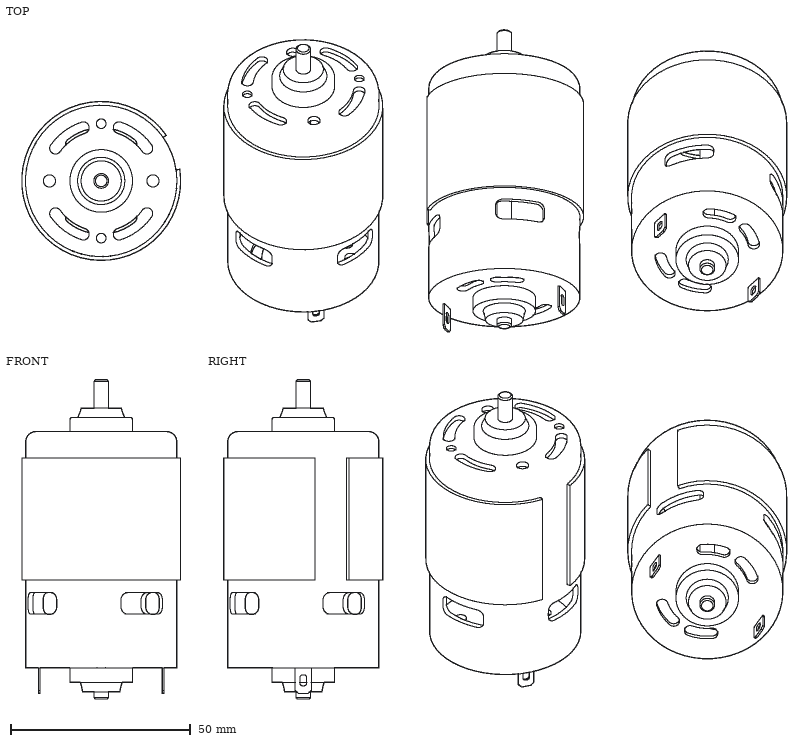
import cadquery as cq
import math

SHAFT_LENGTH = 89.0
LOWER_NOSE_BOTTOM = 2.05
LOWER_BOSS_BOTTOM = 4.7
CAN_BOTTOM = 8.7
SLEEVE_BOTTOM = 33.2
SLEEVE_TOP = 67.2
CAN_TOP = 74.6
UPPER_BOSS_TOP = 78.5
UPPER_NOSE_TOP = 81.1

CAN_RADIUS = 21.1
WALL = 1.5
CAN_TOP_FILLET = 2.9
BOSS_RADIUS = 8.7
BOSS_FILLET = 0.6
NOSE_FLARE = 0.1
UPPER_NOSE_BASE_RADIUS = 6.6
UPPER_NOSE_TIP_RADIUS = 5.6
LOWER_NOSE_BASE_RADIUS = 5.9
LOWER_NOSE_TIP_RADIUS = 5.25

WINDOW_COUNT = 4
WINDOW_WIDTH = 14.0
WINDOW_HEIGHT = 6.0
WINDOW_CORNER = 2.0
WINDOW_CENTRE_Z = 26.7
WINDOW_FIRST_ANGLE = 34.5

VENT_WIDTH = 3.2
UPPER_VENT_RADIUS = 15.7
UPPER_VENT_ANGLES = (35.5, 71.5)
LOWER_VENT_RADIUS = 13.2
LOWER_VENT_ANGLES = (51.0, 78.0)
SCREW_HOLE_DIAMETER = 3.4
SCREW_HOLE_RADIUS = 14.4
DIMPLE_DIAMETER = 2.7
DIMPLE_DEPTH = 1.0
DIMPLE_RADIUS = 15.9

SLEEVE_RADIUS = 22.2
SLEEVE_GAP_START = 8.5
SLEEVE_GAP_END = 35.0

SHAFT_RADIUS = 2.05
SHAFT_CHAMFER = 0.45

TERMINAL_OFFSET = 17.3
TERMINAL_THICKNESS = 0.5
TERMINAL_WIDTH = 4.5
TERMINAL_LENGTH = 7.1
TERMINAL_CHAMFER = 0.9
EYE_WIDTH = 1.9
EYE_HEIGHT = 3.0
EYE_CORNER = 0.7
EYE_CENTRE_Z = 5.25


def cylinder(radius, bottom, top):
    return cq.Workplane("XY").workplane(offset=bottom).circle(radius).extrude(top - bottom)


def polar(radius, angle):
    turn = math.radians(angle)
    return (radius * math.cos(turn), radius * math.sin(turn))


def nose(base_radius, base_z, tip_radius, tip_z):
    """Bearing nose whose flank bows inward between its base and its tip."""
    flank_middle = ((base_radius + tip_radius) / 2 - NOSE_FLARE, (base_z + tip_z) / 2)
    return (
        cq.Workplane("XZ")
        .moveTo(0, base_z)
        .lineTo(base_radius, base_z)
        .threePointArc(flank_middle, (tip_radius, tip_z))
        .lineTo(0, tip_z)
        .close()
        .revolve(360, (0, 0, 0), (0, 1, 0))
    )


def arc_slot(radius, angles, bottom):
    """Cutter for a round-ended slot along an arc; angles are those of its end centres."""
    start, end = angles
    middle = (start + end) / 2
    inner = radius - VENT_WIDTH / 2
    outer = radius + VENT_WIDTH / 2
    cap_turn = math.degrees(VENT_WIDTH / 2 / radius)
    return (
        cq.Workplane("XY")
        .workplane(offset=bottom)
        .moveTo(*polar(inner, start))
        .threePointArc(polar(inner, middle), polar(inner, end))
        .threePointArc(polar(radius, end + cap_turn), polar(outer, end))
        .threePointArc(polar(outer, middle), polar(outer, start))
        .threePointArc(polar(radius, start - cap_turn), polar(inner, start))
        .close()
        .extrude(WALL)
    )


def vent_slots(radius, angles, bottom):
    """Four slots, one in each quadrant, mirrored about X and Y."""
    first = arc_slot(radius, angles, bottom)
    pair = [first.val(), first.mirror("YZ").val()]
    return pair + [slot.mirror("XZ") for slot in pair]


def window(angle):
    """Cutter for one side window, pointing outward at the given angle."""
    return (
        cq.Workplane("YZ")
        .center(0, WINDOW_CENTRE_Z)
        .rect(WINDOW_WIDTH, WINDOW_HEIGHT)
        .extrude(SLEEVE_RADIUS)
        .edges("|X")
        .fillet(WINDOW_CORNER)
        .rotate((0, 0, 0), (0, 0, 1), angle)
    )


def make_can():
    shell = cylinder(CAN_RADIUS, CAN_BOTTOM, CAN_TOP).faces(">Z").edges().fillet(CAN_TOP_FILLET)
    cavity = cylinder(CAN_RADIUS - WALL, CAN_BOTTOM + WALL, CAN_TOP - WALL)
    cavity = cavity.faces(">Z").edges().fillet(CAN_TOP_FILLET - WALL)
    can = shell.cut(cavity)

    upper_boss = cylinder(BOSS_RADIUS, CAN_TOP - WALL, UPPER_BOSS_TOP)
    can = can.union(upper_boss.faces(">Z").edges().fillet(BOSS_FILLET))
    can = can.union(cylinder(BOSS_RADIUS, LOWER_BOSS_BOTTOM, CAN_BOTTOM + WALL))
    can = can.union(nose(UPPER_NOSE_BASE_RADIUS, UPPER_BOSS_TOP, UPPER_NOSE_TIP_RADIUS, UPPER_NOSE_TOP))
    can = can.union(nose(LOWER_NOSE_BASE_RADIUS, LOWER_BOSS_BOTTOM, LOWER_NOSE_TIP_RADIUS, LOWER_NOSE_BOTTOM))

    for index in range(WINDOW_COUNT):
        can = can.cut(window(WINDOW_FIRST_ANGLE + index * 360 / WINDOW_COUNT))

    for angles, radius, bottom in (
        (UPPER_VENT_ANGLES, UPPER_VENT_RADIUS, CAN_TOP - WALL),
        (LOWER_VENT_ANGLES, LOWER_VENT_RADIUS, CAN_BOTTOM),
    ):
        for slot in vent_slots(radius, angles, bottom):
            can = can.cut(cq.Workplane(slot))

    for side in (-1, 1):
        screw_hole = cylinder(SCREW_HOLE_DIAMETER / 2, CAN_TOP - WALL, CAN_TOP)
        can = can.cut(screw_hole.translate((side * SCREW_HOLE_RADIUS, 0, 0)))
        dimple = cylinder(DIMPLE_DIAMETER / 2, CAN_TOP - DIMPLE_DEPTH, CAN_TOP)
        can = can.cut(dimple.translate((0, side * DIMPLE_RADIUS, 0)))

    return can.cut(cylinder(SHAFT_RADIUS, 0, SHAFT_LENGTH))


def make_sleeve():
    middle = (SLEEVE_GAP_END + SLEEVE_GAP_START + 360) / 2
    end = SLEEVE_GAP_START + 360
    return (
        cq.Workplane("XY")
        .workplane(offset=SLEEVE_BOTTOM)
        .moveTo(*polar(CAN_RADIUS, SLEEVE_GAP_END))
        .lineTo(*polar(SLEEVE_RADIUS, SLEEVE_GAP_END))
        .threePointArc(polar(SLEEVE_RADIUS, middle), polar(SLEEVE_RADIUS, end))
        .lineTo(*polar(CAN_RADIUS, end))
        .threePointArc(polar(CAN_RADIUS, middle), polar(CAN_RADIUS, SLEEVE_GAP_END))
        .close()
        .extrude(SLEEVE_TOP - SLEEVE_BOTTOM)
    )


def make_shaft():
    return cylinder(SHAFT_RADIUS, 0, SHAFT_LENGTH).faces("<Z or >Z").edges().chamfer(SHAFT_CHAMFER)


def make_terminal(x):
    """Tab with two clipped lower corners and a rounded eye, hanging from the can's underside."""
    tab = (
        cq.Workplane("XY")
        .box(TERMINAL_THICKNESS, TERMINAL_WIDTH, TERMINAL_LENGTH)
        .edges("|X and <Z")
        .chamfer(TERMINAL_CHAMFER)
        .translate((x, 0, CAN_BOTTOM - TERMINAL_LENGTH / 2))
    )
    eye = (
        cq.Workplane("XY")
        .box(TERMINAL_THICKNESS, EYE_WIDTH, EYE_HEIGHT)
        .edges("|X")
        .fillet(EYE_CORNER)
        .translate((x, 0, EYE_CENTRE_Z))
    )
    return tab.cut(eye)


can = make_can()
sleeve = make_sleeve()
shaft = make_shaft()
terminals = [make_terminal(side * TERMINAL_OFFSET) for side in (-1, 1)]

result = cq.Compound.makeCompound(
    [can.val(), sleeve.val(), shaft.val(), *[terminal.val() for terminal in terminals]]
)